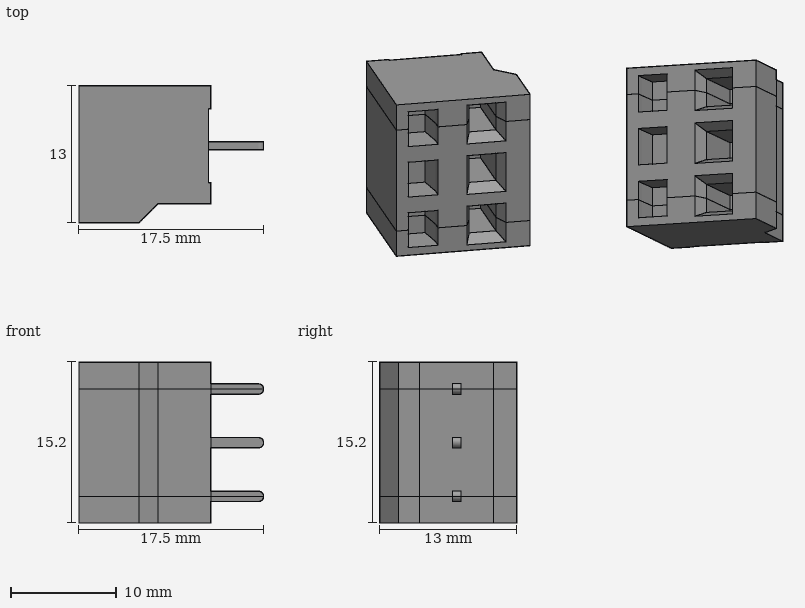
import cadquery as cq

pitch = 5.08
pole_count = 3
end_margin = pitch / 2
height = pitch * (pole_count - 1) + 2 * end_margin
pole_heights = [end_margin + i * pitch for i in range(pole_count)]

housing_length = 12.5
housing_width = 13.0
step_depth = 1.8
slope_start = 5.7
slope_end = slope_start + step_depth
rear_recess_depth = 0.2
rear_recess_low = 3.8
rear_recess_high = 10.8

pin_tip = 17.5
pin_width = 1.0
pin_thickness = 0.8
pin_center_y = 7.3

wire_center_y = 4.25
wire_hole_width = 2.6
wire_hole_height = 2.7
wire_lean = 0.04
funnel_inset = 0.6
funnel_depth = 1.6
wire_hole_depth = 8.0

driver_low_y = 8.95
driver_high_y = 11.83
driver_height = 3.5
driver_mouth_depth = 1.05
driver_hole_depth = 3.7
driver_low_lean = 0.4
driver_high_lean = 0.08


def make_housing():
    recess_x = housing_length - rear_recess_depth
    outline = [
        (0, 0),
        (slope_start, 0),
        (slope_end, step_depth),
        (housing_length, step_depth),
        (housing_length, rear_recess_low),
        (recess_x, rear_recess_low),
        (recess_x, rear_recess_high),
        (housing_length, rear_recess_high),
        (housing_length, housing_width),
        (0, housing_width),
    ]
    return cq.Workplane("XY").polyline(outline).close().extrude(height)


def make_pin(z):
    """Flat pin with a rounded tip, starting on the floor of the rear recess."""
    start = housing_length - rear_recess_depth
    half = pin_width / 2
    round_start = pin_tip - half
    return (
        cq.Workplane("XZ", origin=(0, pin_center_y, z))
        .moveTo(start, -half)
        .lineTo(round_start, -half)
        .threePointArc((pin_tip, 0), (round_start, half))
        .lineTo(start, half)
        .close()
        .extrude(pin_thickness / 2, both=True)
    )


def make_opening(outline, z, opening_height):
    """Space with an XY outline and flat top and bottom, centred on height z."""
    return (
        cq.Workplane("XY", origin=(0, 0, z))
        .polyline(outline)
        .close()
        .extrude(opening_height / 2, both=True)
    )


def make_wire_opening(z):
    funnel = (
        cq.Workplane("YZ", origin=(0, wire_center_y, z))
        .rect(wire_hole_width + 2 * funnel_inset, wire_hole_height + 2 * funnel_inset)
        .workplane(offset=funnel_depth)
        .rect(wire_hole_width, wire_hole_height)
        .loft(ruled=True)
    )
    low_y = wire_center_y - wire_hole_width / 2
    high_y = wire_center_y + wire_hole_width / 2
    hole_outline = [
        (funnel_depth, low_y),
        (wire_hole_depth, low_y),
        (wire_hole_depth, high_y - wire_lean),
        (funnel_depth, high_y),
    ]
    return funnel.union(make_opening(hole_outline, z, wire_hole_height))


def make_driver_opening(z):
    outline = [
        (0, driver_low_y),
        (driver_mouth_depth, driver_low_y),
        (driver_hole_depth, driver_low_y + driver_low_lean),
        (driver_hole_depth, driver_high_y - driver_high_lean),
        (driver_mouth_depth, driver_high_y),
        (0, driver_high_y),
    ]
    return make_opening(outline, z, driver_height)


def slice_between(whole, bottom, top):
    """The part of a shape that lies between two heights."""
    slab = (
        cq.Workplane("XY", origin=(0, 0, bottom))
        .rect(2 * pin_tip, 2 * housing_width)
        .extrude(top - bottom)
    )
    return whole.intersect(slab)


connector = make_housing()
for pole_z in pole_heights:
    connector = connector.cut(make_wire_opening(pole_z))
    connector = connector.cut(make_driver_opening(pole_z))
    connector = connector.union(make_pin(pole_z))

lower_end = slice_between(connector, 0, pole_heights[0])
middle = slice_between(connector, pole_heights[0], pole_heights[-1])
upper_end = slice_between(connector, pole_heights[-1], height)

result = cq.Compound.makeCompound([lower_end.val(), middle.val(), upper_end.val()])